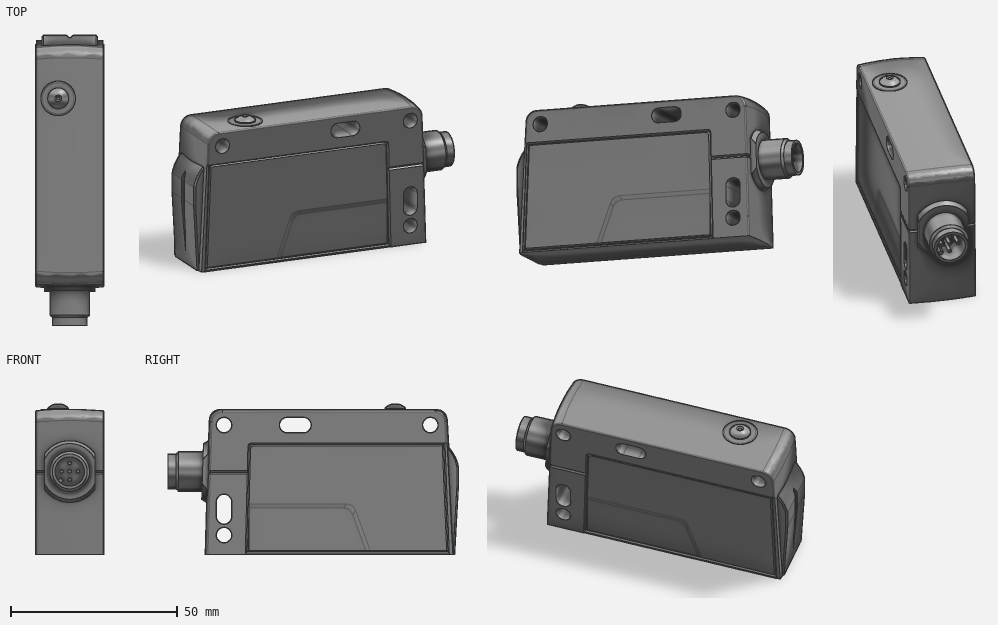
import cadquery as cq
import math


WIDTH = 20.5
HALF_WIDTH = WIDTH / 2
CROWN_TOP = 43.7
TOP_SAG = 0.45
END_SAG = 0.55
REAR_LEAN = 0.031
FRONT_LEAN = 0.052
FRONT_AT_BASE = 75.1
TOP_CORNER_RADIUS = 3.5
SIDE_EDGE_RADIUS = 0.4

HOLE_DIAMETER = 4.6
TOP_HOLE_Z = 38.95
REAR_HOLE_Y = 5.75
FRONT_HOLE_Y = 67.8
LOWER_HOLE_Z = 5.85
TOP_SLOT_Y = 27.2
TOP_SLOT_LENGTH = 9.5
REAR_SLOT_Z = 13.65
REAR_SLOT_LENGTH = 9.0

PANEL_TOP = 33.5
PANEL_BASE = 0.45
PANEL_FRONT_AT_TOP = 72.2
PANEL_FRONT_AT_BASE = 73.5
PANEL_REAR_AT_TOP = 12.95
PANEL_REAR_AT_BASE = 12.15
PANEL_DEPTH = 0.3
PANEL_CORNER_RADIUS = 1.0
GROOVE_DEPTH = 0.65
GROOVE_HALF_WIDTH = 0.4
SILL_INSET = 0.15

POCKET_TOP = 15.25
POCKET_CORNER_Y = 44.6
POCKET_FOOT_Y = 49.7
POCKET_REAR = 13.3
POCKET_BASE = 1.25
POCKET_BEVEL = 1.3
POCKET_DEPTH = 0.2
POCKET_CORNER_RADIUS = 3.0

PARTING_Z = 24.72
PARTING_HALF_HEIGHT = 0.5
PARTING_DEPTH = 0.45

LENS_WIDTH = 16.7
LENS_FRONT = 76.28
LENS_TOP = 32.4
LENS_TOP_Y = 73.2
LENS_KNEE_TOP = 26.4
LENS_KNEE_BASE = 20.5
LENS_FOOT_Y = 75.15
LENS_BACK = 70.0
LENS_BULGE = 0.35
LENS_CHAMFER = 0.5
LENS_NOTCH_WIDTH = 2.2
LENS_NOTCH_DEPTH = 0.9

CONNECTOR_Z = 25.0
FLANGE_DIAMETER = 18.6
FLANGE_WIDTH = 15.2
FLANGE_REAR = -0.7
FLANGE_TAPER_LENGTH = 1.5
FLANGE_FACE_DIAMETER = 16.8
BARREL_DIAMETER = 12.0
BARREL_END = -7.9
TIP_DIAMETER = 10.5
CONNECTOR_END = -11.1
BORE_DIAMETER = 8.8
BORE_DEPTH = 8.5
PIN_DIAMETER = 1.0
PIN_PITCH = 2.5
PIN_LENGTH = 6.5
KEY_WIDTH = 1.2
KEY_INNER_RADIUS = 3.3
KEY_ANGLE = 225
ROOT_INSIDE_HOUSING = 3.0

BUTTON_X = -3.48
BUTTON_Y = 57.25
BUTTON_TOP = 45.26
RIM_DIAMETER = 10.4
RIM_CHAMFER = 0.5
RIM_CHAMFER_HEIGHT = 0.1
BUTTON_DIAMETER = 6.3
BUTTON_SKIRT = 0.3
DIMPLE_DIAMETER = 2.0
DIMPLE_DEPTH = 0.3
DIMPLE_FLOOR_DIAMETER = 1.0

MARGIN = 5.0


def plan_section(z, inset=0.0):
    """Horizontal section of the housing with arched front and rear ends."""
    half = HALF_WIDTH - inset
    rear = REAR_LEAN * z + inset
    front = FRONT_AT_BASE - FRONT_LEAN * z - inset
    return (
        cq.Sketch()
        .arc((-half, rear + END_SAG), (0, rear), (half, rear + END_SAG))
        .segment((half, front - END_SAG))
        .arc((half, front - END_SAG), (0, front), (-half, front - END_SAG))
        .close()
        .assemble()
        .moved(cq.Location(cq.Vector(0, 0, z)))
    )


def make_housing():
    height = CROWN_TOP + MARGIN
    block = cq.Workplane("XY").placeSketch(plan_section(0), plan_section(height)).loft(ruled=True)
    shoulder = CROWN_TOP - TOP_SAG
    crown = (
        cq.Workplane("XZ", origin=(0, -MARGIN, 0))
        .moveTo(-HALF_WIDTH, 0)
        .lineTo(-HALF_WIDTH, shoulder)
        .threePointArc((0, CROWN_TOP), (HALF_WIDTH, shoulder))
        .lineTo(HALF_WIDTH, 0)
        .close()
        .extrude(-(FRONT_AT_BASE + 2 * MARGIN))
    )
    housing = block.intersect(crown)
    top_ends = housing.faces(">Z").edges("<Y or >Y")
    housing = top_ends.fillet(TOP_CORNER_RADIUS)
    rims = housing.faces("<X or >X").edges("not <Z")
    return rims.fillet(SIDE_EDGE_RADIUS)


def panel_outline(x, inset):
    """Panel outline at distance x from the mid plane."""
    base = PANEL_BASE + inset
    top = PANEL_TOP - inset
    top_rear = (PANEL_REAR_AT_TOP + inset, top)
    corners = [
        (PANEL_REAR_AT_BASE + inset, base),
        (PANEL_FRONT_AT_BASE - inset, base),
        (PANEL_FRONT_AT_TOP - inset, top),
        top_rear,
        (PANEL_REAR_AT_BASE + inset, base),
    ]
    return (
        cq.Sketch()
        .polygon(corners)
        .vertices(cq.selectors.NearestToPointSelector((*top_rear, 0)))
        .fillet(PANEL_CORNER_RADIUS)
        .reset()
        .moved(cq.Location(cq.Vector(0, 0, x)))
    )


def pocket_outline(x, inset):
    """Pocket outline at distance x from the mid plane; inset moves its top and front edges."""
    slope = (POCKET_FOOT_Y - POCKET_CORNER_Y) / (POCKET_TOP - POCKET_BASE)
    top = POCKET_TOP - inset
    foot = POCKET_FOOT_Y - inset
    top_front = (foot - slope * (top - POCKET_BASE), top)
    corners = [
        (POCKET_REAR, POCKET_BASE),
        (foot, POCKET_BASE),
        top_front,
        (POCKET_REAR, top),
        (POCKET_REAR, POCKET_BASE),
    ]
    return (
        cq.Sketch()
        .polygon(corners)
        .vertices(cq.selectors.NearestToPointSelector((*top_front, 0)))
        .fillet(POCKET_CORNER_RADIUS)
        .reset()
        .moved(cq.Location(cq.Vector(0, 0, x)))
    )


def loft_across(outer, inner):
    return cq.Workplane("YZ").placeSketch(outer, inner).loft(ruled=True)


def both_sides(body):
    return body.union(body.mirror("YZ"))


def cut_side_panels(housing):
    face_x = HALF_WIDTH - PANEL_DEPTH
    groove_x = HALF_WIDTH - GROOVE_DEPTH
    recess = loft_across(
        panel_outline(HALF_WIDTH, 0),
        panel_outline(groove_x, GROOVE_HALF_WIDTH),
    )
    panel = loft_across(
        panel_outline(face_x, 2 * GROOVE_HALF_WIDTH),
        panel_outline(groove_x, GROOVE_HALF_WIDTH),
    )
    pocket = loft_across(
        pocket_outline(face_x, 0),
        pocket_outline(face_x - POCKET_DEPTH, POCKET_BEVEL),
    )
    sill = (
        cq.Workplane("XY")
        .box(SILL_INSET, FRONT_AT_BASE, PANEL_BASE, centered=False)
        .translate((HALF_WIDTH - SILL_INSET, PANEL_REAR_AT_BASE, 0))
    )
    front_strip = (
        cq.Workplane("YZ", origin=(face_x, 0, 0))
        .polyline(
            [
                (PANEL_FRONT_AT_BASE, 0),
                (FRONT_AT_BASE, 0),
                (FRONT_AT_BASE, PANEL_TOP),
                (PANEL_FRONT_AT_TOP, PANEL_TOP),
                (PANEL_FRONT_AT_BASE, PANEL_BASE),
            ]
        )
        .close()
        .extrude(PANEL_DEPTH)
    )
    housing = housing.cut(both_sides(recess)).union(both_sides(panel))
    for cutter in (pocket, sill, front_strip):
        housing = housing.cut(both_sides(cutter))
    return housing


def cut_parting_groove(body):
    low = PARTING_Z - PARTING_HALF_HEIGHT
    high = PARTING_Z + PARTING_HALF_HEIGHT
    waist = plan_section(PARTING_Z, PARTING_DEPTH)
    band = (
        cq.Workplane("XY")
        .box(WIDTH + MARGIN, PANEL_REAR_AT_TOP + MARGIN, high - low, centered=(True, False, False))
        .translate((0, -MARGIN, low))
    )
    lower = cq.Workplane("XY").placeSketch(plan_section(low), waist).loft(ruled=True)
    upper = cq.Workplane("XY").placeSketch(waist, plan_section(high)).loft(ruled=True)
    return body.cut(band.cut(lower).cut(upper))


def cut_mounting_holes(body):
    round_holes = [
        (FRONT_HOLE_Y, TOP_HOLE_Z),
        (REAR_HOLE_Y, TOP_HOLE_Z),
        (REAR_HOLE_Y, LOWER_HOLE_Z),
    ]
    slots = [
        (TOP_SLOT_Y, TOP_HOLE_Z, TOP_SLOT_LENGTH, 0),
        (REAR_HOLE_Y, REAR_SLOT_Z, REAR_SLOT_LENGTH, 90),
    ]
    holes = cq.Workplane("YZ").pushPoints(round_holes).circle(HOLE_DIAMETER / 2).extrude(WIDTH, both=True)
    for y, z, length, angle in slots:
        slot = cq.Workplane("YZ").center(y, z).slot2D(length, HOLE_DIAMETER, angle)
        holes = holes.union(slot.extrude(WIDTH, both=True))
    return body.cut(holes)


def lens_section(x, setback):
    """Side profile of the lens at distance x from the mid plane, its front moved back by setback."""
    bulge_point = (
        (LENS_TOP_Y + LENS_FRONT) / 2 + LENS_BULGE - setback,
        (LENS_TOP + LENS_KNEE_TOP) / 2 + LENS_BULGE,
    )
    foot = (LENS_FOOT_Y - setback, 0)
    knee_base = (LENS_FRONT - setback, LENS_KNEE_BASE)
    knee_top = (LENS_FRONT - setback, LENS_KNEE_TOP)
    top = (LENS_TOP_Y - setback, LENS_TOP)
    return (
        cq.Sketch()
        .segment((LENS_BACK, 0), foot)
        .segment(knee_base)
        .segment(knee_top)
        .arc(knee_top, bulge_point, top)
        .segment(top, (LENS_BACK, LENS_TOP))
        .close()
        .assemble()
        .moved(cq.Location(cq.Vector(0, 0, x)))
    )


def make_lens():
    flat_half = LENS_WIDTH / 2 - LENS_CHAMFER
    middle = cq.Workplane("YZ").placeSketch(lens_section(0, 0)).extrude(flat_half, both=True)
    end = loft_across(lens_section(flat_half, 0), lens_section(LENS_WIDTH / 2, LENS_CHAMFER))
    lens = middle.union(both_sides(end))
    notch = (
        cq.Workplane("XY")
        .moveTo(-LENS_NOTCH_WIDTH / 2, LENS_FRONT)
        .lineTo(0, LENS_FRONT - LENS_NOTCH_DEPTH)
        .lineTo(LENS_NOTCH_WIDTH / 2, LENS_FRONT)
        .close()
        .extrude(LENS_TOP)
    )
    return lens.cut(notch)


def connector_plane(y):
    """Sketch plane at y, centred on the connector, extruding towards the rear."""
    return cq.Workplane("XZ", origin=(0, y, CONNECTOR_Z))


def make_flange():
    lean_angle = math.degrees(math.atan(REAR_LEAN))
    length = ROOT_INSIDE_HOUSING - FLANGE_REAR
    disc = (
        cq.Workplane("XY")
        .moveTo(0, ROOT_INSIDE_HOUSING)
        .lineTo(FLANGE_DIAMETER / 2, ROOT_INSIDE_HOUSING)
        .lineTo(FLANGE_DIAMETER / 2, FLANGE_REAR + FLANGE_TAPER_LENGTH)
        .lineTo(FLANGE_FACE_DIAMETER / 2, FLANGE_REAR)
        .lineTo(0, FLANGE_REAR)
        .close()
        .revolve(360, (0, 0, 0), (0, 1, 0))
        .translate((0, 0, CONNECTOR_Z))
    )
    flats = connector_plane(ROOT_INSIDE_HOUSING).rect(FLANGE_WIDTH, FLANGE_DIAMETER).extrude(length)
    pivot = (0, FLANGE_REAR, CONNECTOR_Z)
    pivot_end = (1, FLANGE_REAR, CONNECTOR_Z)
    return disc.intersect(flats).rotate(pivot, pivot_end, -lean_angle)


def make_plug():
    step = (BARREL_DIAMETER - TIP_DIAMETER) / 2
    plug = (
        cq.Workplane("XY")
        .moveTo(0, ROOT_INSIDE_HOUSING)
        .lineTo(BARREL_DIAMETER / 2, ROOT_INSIDE_HOUSING)
        .lineTo(BARREL_DIAMETER / 2, BARREL_END)
        .lineTo(TIP_DIAMETER / 2, BARREL_END - step)
        .lineTo(TIP_DIAMETER / 2, CONNECTOR_END)
        .lineTo(0, CONNECTOR_END)
        .close()
        .revolve(360, (0, 0, 0), (0, 1, 0))
        .translate((0, 0, CONNECTOR_Z))
    )
    floor = CONNECTOR_END + BORE_DEPTH
    plug = plug.cut(connector_plane(floor).circle(BORE_DIAMETER / 2).extrude(BORE_DEPTH))

    pin_places = [
        (0, 0),
        (PIN_PITCH, 0),
        (-PIN_PITCH, 0),
        (0, PIN_PITCH),
        (0, -PIN_PITCH),
    ]
    pins = connector_plane(floor).pushPoints(pin_places).circle(PIN_DIAMETER / 2).extrude(PIN_LENGTH)
    key_outer_radius = (BORE_DIAMETER + TIP_DIAMETER) / 4
    key = (
        connector_plane(floor)
        .transformed(rotate=(0, 0, KEY_ANGLE))
        .center((KEY_INNER_RADIUS + key_outer_radius) / 2, 0)
        .rect(key_outer_radius - KEY_INNER_RADIUS, KEY_WIDTH)
        .extrude(PIN_LENGTH)
    )
    return plug.union(pins).union(key)


def add_button(body):
    rim_base = CROWN_TOP - 2 * TOP_SAG
    rim_radius = RIM_DIAMETER / 2
    place = cq.Workplane("XY", origin=(BUTTON_X, BUTTON_Y, rim_base))
    seat = place.circle(rim_radius).extrude(MARGIN)
    rim = place.circle(rim_radius).extrude(CROWN_TOP - rim_base)
    rim = rim.faces(">Z").chamfer(RIM_CHAMFER_HEIGHT, RIM_CHAMFER)

    radius = BUTTON_DIAMETER / 2
    lip_radius = DIMPLE_DIAMETER / 2
    skirt_top = CROWN_TOP + BUTTON_SKIRT
    rise = BUTTON_TOP - skirt_top
    centre_drop = (radius**2 - lip_radius**2 - rise**2) / (2 * rise)
    dome_radius = math.hypot(radius, centre_drop)
    middle_radius = (radius + lip_radius) / 2
    dome_centre = skirt_top - centre_drop
    middle_height = dome_centre + math.sqrt(dome_radius**2 - middle_radius**2)
    dimple_floor = BUTTON_TOP - DIMPLE_DEPTH
    dome = (
        cq.Workplane("XZ")
        .moveTo(0, rim_base)
        .lineTo(radius, rim_base)
        .lineTo(radius, skirt_top)
        .threePointArc((middle_radius, middle_height), (lip_radius, BUTTON_TOP))
        .lineTo(DIMPLE_FLOOR_DIAMETER / 2, dimple_floor)
        .lineTo(0, dimple_floor)
        .close()
        .revolve(360, (0, 0, 0), (0, 1, 0))
        .translate((BUTTON_X, BUTTON_Y, 0))
    )
    return body.cut(seat).union(rim).union(dome)


result = make_housing().union(make_lens())
result = cut_side_panels(result)
result = cut_parting_groove(result)
result = cut_mounting_holes(result)
result = result.union(make_flange()).union(make_plug())
result = add_button(result)